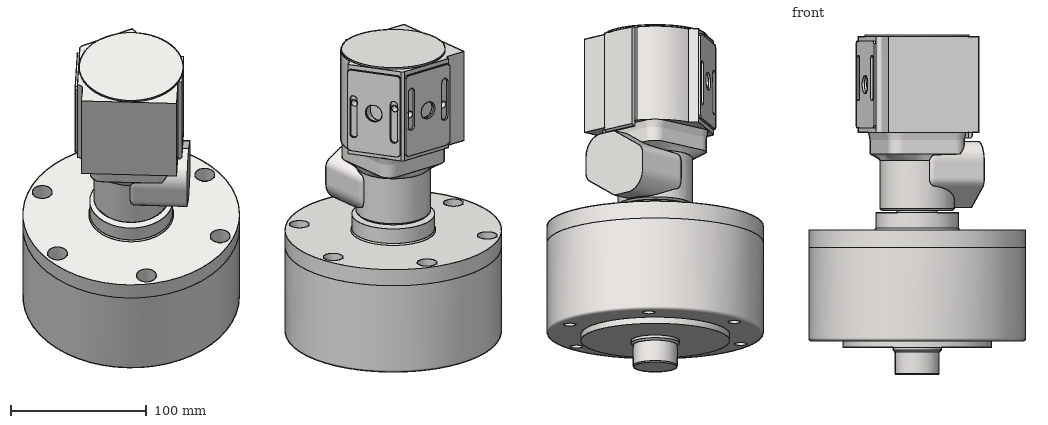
import cadquery as cq
import math

STUB_BOTTOM = 0.0
BOSS_BOTTOM = 20.0
HOUSING_BOTTOM = 24.8
COVER_BOTTOM = 94.0
COVER_TOP = 106.8
COLLAR_TOP = 119.5
NECK_BOTTOM = 121.0
FLANGE_BOTTOM = 163.0
FLANGE_FLARE_START = 173.0
HEAD_BOTTOM = 178.7
HEAD_TOP = 249.3
TOTAL_HEIGHT = 250.5
HEAD_MIDDLE = (HEAD_BOTTOM + HEAD_TOP) / 2

BASE_RADIUS = 80.0
HOUSING_EDGE_FILLET = 2.0
BOSS_RADIUS = 55.0
BOLT_COUNT = 6
BOLT_CIRCLE_RADIUS = 70.2
BOLT_HOLE_RADIUS = 4.5
BOLT_HEAD_RADIUS = 7.3

STUB_RADIUS = 16.3
STUB_SHOULDER_RADIUS = 17.8
STUB_SHOULDER_BOTTOM = 18.0
STUB_CHAMFER_WIDTH = 0.5
STUB_CHAMFER_HEIGHT = 1.0

COLLAR_RADIUS = 30.5
COLLAR_FOOT_RADIUS = 31.3
COLLAR_FOOT_HEIGHT = 1.3
SPACER_RADIUS = 14.8

HEAD_ANGLE = 18.4
NECK_RADIUS = 27.5
NECK_CHAMFER = 1.5
FLANGE_UNDERSIDE_HEIGHT = 4.8
FLANGE_HALF_WIDTH = 29.3
FLANGE_CORNER_RADIUS = 8.8
FLANGE_FLARE_ANGLE = 12.0

LUG_HALF_LENGTH = 29.8
LUG_REACH = 42.4
LUG_BOTTOM = 123.3
LUG_TOP = 172.2
LUG_ROUND = 15.0
LUG_SLOPE = 30.0
LUG_SLOPE_FILLET = 7.3
LUG_END_FILLET = 4.0

HEAD_RADIUS = 38.8
HEAD_HALF_WIDTH = 35.0
STEP_FILLET = 3.0
PLATE_FACE_HALF_WIDTH = 21.0
BACK_ARC_START = 85.0
CAP_RADIUS = 38.3
PLATE_TURN = -60.0
PLATE_FACE_ANGLE = 180.0

TAB_REACH = 38.0
TAB_HALF_WIDTH = 14.5
TAB_BOTTOM = 174.5
TAB_CHAMFER = 1.5

PLATE_HALF_WIDTH = 20.8
PLATE_HEIGHT = 64.0
PLATE_THICKNESS = 1.8
PLATE_CORNER_CHAMFER = 1.8
PORT_RADIUS = 6.5
SLOT_SPACING = 31.8
SLOT_LENGTH = 33.0
SLOT_WIDTH = 5.8
SLOT_SHIFT = 4.8
SCREW_HOLE_RADIUS = 2.5
SCREW_HOLE_DEPTH = 7.5
SCREW_HOLE_RAISE = 5.5
PORT_RECESS_DEPTH = 1.8
PORT_POCKET_LENGTH = 28.3
PORT_POCKET_DEPTH = 9.0


def disc(radius, bottom, top):
    """Cylinder about the Z axis between two heights."""
    return cq.Workplane("XY").workplane(offset=bottom).circle(radius).extrude(top - bottom)


def bolt_cutters(radius, bottom, top):
    """Cylinders on the bolt circle."""
    return (
        cq.Workplane("XY")
        .workplane(offset=bottom)
        .polarArray(BOLT_CIRCLE_RADIUS, 0, 360, BOLT_COUNT)
        .circle(radius)
        .extrude(top - bottom)
    )


def turn_to_head(shape):
    """Turn a shape from the head's own axes into its place."""
    return shape.rotate((0, 0, 0), (0, 0, 1), HEAD_ANGLE)


def make_housing():
    body = disc(BASE_RADIUS, HOUSING_BOTTOM, COVER_BOTTOM).faces("<Z").edges().fillet(HOUSING_EDGE_FILLET)
    body = body.union(disc(BOSS_RADIUS, BOSS_BOTTOM, HOUSING_BOTTOM))
    return body.cut(bolt_cutters(BOLT_HOLE_RADIUS, HOUSING_BOTTOM, COVER_BOTTOM))


def make_cover():
    """Cover plate whose wide holes take the bolt heads."""
    cover_disc = disc(BASE_RADIUS, COVER_BOTTOM, COVER_TOP)
    return cover_disc.cut(bolt_cutters(BOLT_HEAD_RADIUS, COVER_BOTTOM, COVER_TOP))


def make_stub():
    shoulder_taper = STUB_SHOULDER_RADIUS - STUB_RADIUS
    profile = [
        (0, STUB_BOTTOM),
        (STUB_RADIUS - STUB_CHAMFER_WIDTH, STUB_BOTTOM),
        (STUB_RADIUS, STUB_BOTTOM + STUB_CHAMFER_HEIGHT),
        (STUB_RADIUS, STUB_SHOULDER_BOTTOM - shoulder_taper),
        (STUB_SHOULDER_RADIUS, STUB_SHOULDER_BOTTOM),
        (STUB_SHOULDER_RADIUS, BOSS_BOTTOM),
        (0, BOSS_BOTTOM),
    ]
    return cq.Workplane("XZ").polyline(profile).close().revolve(360, (0, 0), (0, 1))


def make_collar():
    """Collar with a slightly flared foot and a thin spacer that carries the neck."""
    profile = [
        (0, COVER_TOP),
        (COLLAR_FOOT_RADIUS, COVER_TOP),
        (COLLAR_RADIUS, COVER_TOP + COLLAR_FOOT_HEIGHT),
        (COLLAR_RADIUS, COLLAR_TOP),
        (SPACER_RADIUS, COLLAR_TOP),
        (SPACER_RADIUS, NECK_BOTTOM),
        (0, NECK_BOTTOM),
    ]
    return cq.Workplane("XZ").polyline(profile).close().revolve(360, (0, 0), (0, 1))


def flange_sketch(height=0):
    """Rounded square of the neck flange."""
    width = 2 * FLANGE_HALF_WIDTH
    square = cq.Sketch().rect(width, width).vertices().fillet(FLANGE_CORNER_RADIUS)
    return square.moved(cq.Location(cq.Vector(0, 0, height)))


def make_flange():
    """Square flange: blended to the round neck below, flared to the head above."""
    blend = (
        cq.Workplane("XY")
        .workplane(offset=FLANGE_BOTTOM - FLANGE_UNDERSIDE_HEIGHT)
        .placeSketch(cq.Sketch().circle(NECK_RADIUS), flange_sketch(FLANGE_UNDERSIDE_HEIGHT))
        .loft(ruled=True)
    )
    square = (
        cq.Workplane("XY")
        .workplane(offset=FLANGE_BOTTOM)
        .placeSketch(flange_sketch())
        .extrude(FLANGE_FLARE_START - FLANGE_BOTTOM)
    )
    flare = (
        cq.Workplane("XY")
        .workplane(offset=FLANGE_FLARE_START)
        .placeSketch(flange_sketch())
        .extrude(HEAD_BOTTOM - FLANGE_FLARE_START, taper=-FLANGE_FLARE_ANGLE)
    )
    return square.union(flare).union(blend)


def make_lug():
    """Side lug: two opposite corners rounded, the other two cut by slopes from the middle."""
    slope_drop = LUG_HALF_LENGTH * math.tan(math.radians(LUG_SLOPE))
    rounding = LUG_ROUND * math.sqrt(0.5)
    front_round_middle = (-LUG_HALF_LENGTH + LUG_ROUND - rounding, LUG_TOP - LUG_ROUND + rounding)
    back_round_middle = (LUG_HALF_LENGTH - LUG_ROUND + rounding, LUG_BOTTOM + LUG_ROUND - rounding)
    lug = (
        cq.Workplane("YZ")
        .moveTo(0, LUG_BOTTOM)
        .lineTo(LUG_HALF_LENGTH - LUG_ROUND, LUG_BOTTOM)
        .threePointArc(back_round_middle, (LUG_HALF_LENGTH, LUG_BOTTOM + LUG_ROUND))
        .lineTo(LUG_HALF_LENGTH, LUG_TOP - slope_drop)
        .lineTo(0, LUG_TOP)
        .lineTo(LUG_ROUND - LUG_HALF_LENGTH, LUG_TOP)
        .threePointArc(front_round_middle, (-LUG_HALF_LENGTH, LUG_TOP - LUG_ROUND))
        .lineTo(-LUG_HALF_LENGTH, LUG_BOTTOM + slope_drop)
        .close()
        .extrude(LUG_REACH)
    )
    for y, z in ((LUG_HALF_LENGTH, LUG_TOP - slope_drop), (-LUG_HALF_LENGTH, LUG_BOTTOM + slope_drop)):
        lug = lug.edges(cq.selectors.NearestToPointSelector((LUG_REACH / 2, y, z))).fillet(LUG_SLOPE_FILLET)
    return lug.faces("<X").edges().fillet(LUG_END_FILLET)


def make_neck():
    neck = disc(NECK_RADIUS, NECK_BOTTOM, FLANGE_BOTTOM).faces("<Z").edges().chamfer(NECK_CHAMFER)
    return turn_to_head(neck.union(make_flange()).union(make_lug()))


def plate_face(turn):
    """Workplane on a plate face of the head, facing outward, with its Y axis along Z."""
    angle = math.radians(PLATE_FACE_ANGLE + turn)
    normal = cq.Vector(math.cos(angle), math.sin(angle), 0)
    origin = normal * HEAD_RADIUS + cq.Vector(0, 0, HEAD_MIDDLE)
    across = cq.Vector(0, 0, 1).cross(normal)
    return cq.Workplane(cq.Plane(origin=origin, xDir=across, normal=normal))


def make_plate(turn, slot_shift):
    """Adjusting plate with a middle port and two long slots."""
    face = plate_face(turn)
    corners = cq.selectors.ParallelDirSelector(face.plane.zDir)
    plate = (
        face.rect(2 * PLATE_HALF_WIDTH, PLATE_HEIGHT)
        .extrude(PLATE_THICKNESS)
        .edges(corners)
        .chamfer(PLATE_CORNER_CHAMFER)
    )
    port = plate_face(turn).circle(PORT_RADIUS).extrude(PLATE_THICKNESS)
    slots = (
        plate_face(turn)
        .pushPoints([(-SLOT_SPACING / 2, slot_shift), (SLOT_SPACING / 2, slot_shift)])
        .slot2D(SLOT_LENGTH, SLOT_WIDTH, 90)
        .extrude(PLATE_THICKNESS)
    )
    return turn_to_head(plate.cut(port).cut(slots))


def screw_holes(turn, raise_by):
    """Blind screw holes behind the two slots of a plate."""
    return (
        plate_face(turn)
        .pushPoints([(-SLOT_SPACING / 2, raise_by), (SLOT_SPACING / 2, raise_by)])
        .circle(SCREW_HOLE_RADIUS)
        .extrude(-SCREW_HOLE_DEPTH)
    )


def make_head_block():
    """Prism with two flat plate faces joined by a cut corner, a rounded back and a stepped left side."""
    second_face = math.radians(PLATE_FACE_ANGLE + PLATE_TURN)
    second_face_ends = [
        (
            HEAD_RADIUS * math.cos(second_face) - across * math.sin(second_face),
            HEAD_RADIUS * math.sin(second_face) + across * math.cos(second_face),
        )
        for across in (-PLATE_FACE_HALF_WIDTH, PLATE_FACE_HALF_WIDTH)
    ]
    back_start = math.radians(BACK_ARC_START)
    back_end = math.acos(HEAD_HALF_WIDTH / HEAD_RADIUS)
    arc_points = [
        (HEAD_RADIUS * math.cos(angle), HEAD_RADIUS * math.sin(angle))
        for angle in (back_start, (back_start + back_end) / 2, back_end)
    ]
    fillet_shift = STEP_FILLET * (1 - math.sqrt(0.5))
    return (
        cq.Workplane("XY")
        .workplane(offset=HEAD_BOTTOM)
        .moveTo(-HEAD_HALF_WIDTH, -HEAD_RADIUS)
        .lineTo(HEAD_HALF_WIDTH, -HEAD_RADIUS)
        .lineTo(*arc_points[2])
        .threePointArc(arc_points[1], arc_points[0])
        .lineTo(*second_face_ends[0])
        .lineTo(*second_face_ends[1])
        .lineTo(-HEAD_RADIUS, PLATE_FACE_HALF_WIDTH)
        .lineTo(-HEAD_RADIUS, -PLATE_FACE_HALF_WIDTH)
        .lineTo(-HEAD_HALF_WIDTH - STEP_FILLET, -PLATE_FACE_HALF_WIDTH)
        .threePointArc(
            (-HEAD_HALF_WIDTH - fillet_shift, -PLATE_FACE_HALF_WIDTH - fillet_shift),
            (-HEAD_HALF_WIDTH, -PLATE_FACE_HALF_WIDTH - STEP_FILLET),
        )
        .close()
        .extrude(HEAD_TOP - HEAD_BOTTOM)
    )


def make_tab():
    """Strip on the right side of the head that hangs below its underside."""
    return (
        cq.Workplane("XY")
        .workplane(offset=TAB_BOTTOM)
        .center((HEAD_HALF_WIDTH + TAB_REACH) / 2, 0)
        .rect(TAB_REACH - HEAD_HALF_WIDTH, 2 * TAB_HALF_WIDTH)
        .extrude(HEAD_TOP - TAB_BOTTOM)
        .faces("<Z")
        .edges(">X")
        .chamfer(TAB_CHAMFER)
    )


def make_head():
    head = make_head_block().union(make_tab()).union(disc(CAP_RADIUS, HEAD_TOP, TOTAL_HEIGHT))
    head = head.cut(screw_holes(0, 0)).cut(screw_holes(PLATE_TURN, SCREW_HOLE_RAISE))
    recess = plate_face(0).circle(PORT_RADIUS).extrude(-PORT_RECESS_DEPTH)
    pocket = (
        plate_face(PLATE_TURN)
        .center(0, SLOT_SHIFT)
        .slot2D(PORT_POCKET_LENGTH, 2 * PORT_RADIUS, 90)
        .extrude(-PORT_POCKET_DEPTH)
    )
    return turn_to_head(head.cut(recess).cut(pocket))


housing = make_housing()
cover = make_cover()
stub = make_stub()
collar = make_collar()
neck = make_neck()
head = make_head()
plates = [make_plate(turn, shift) for turn, shift in ((0, SLOT_SHIFT), (PLATE_TURN, -SLOT_SHIFT))]

result = cq.Compound.makeCompound(
    [
        housing.val(),
        cover.val(),
        stub.val(),
        collar.val(),
        neck.val(),
        head.val(),
        *[plate.val() for plate in plates],
    ]
)